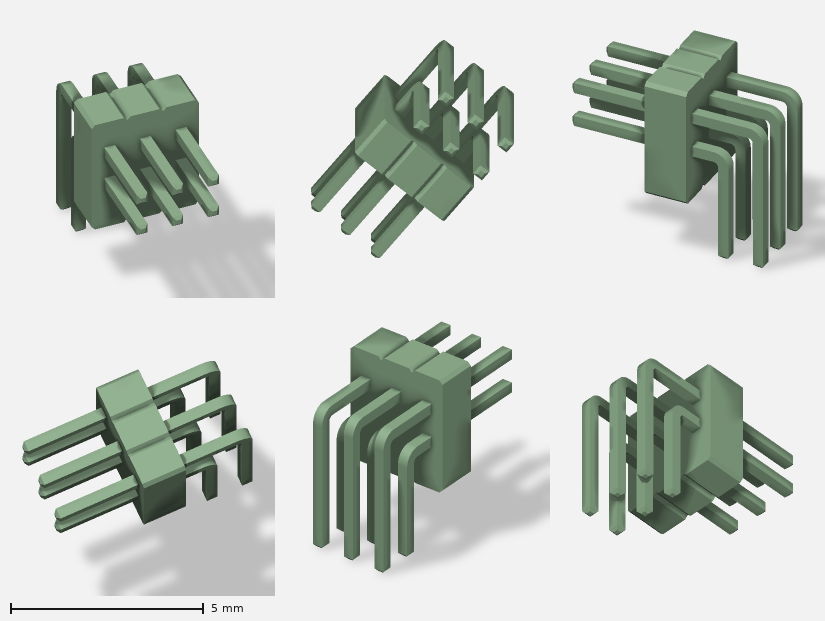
import cadquery as cq


total_length = 5.55
total_width = 3.0
total_height = 5.0

columns = 3
rows = 2
pitch = total_width / columns

pin_size = 0.3
bend_inner_radius = 0.145
bend_outer_radius = bend_inner_radius + pin_size
tip_chamfer = 0.085

housing_start = 2.055
housing_length = 1.205
housing_height = 3.4
housing_chamfer = 0.1
housing_bottom = total_height - housing_height

housing_rise_above_pins = 0.8
outer_pin_top = total_height - housing_rise_above_pins


def housing_segment(center_y):
    """One pitch-wide block; the chamfers of neighbouring blocks meet as V notches."""
    return (
        cq.Workplane("XY")
        .box(housing_length, pitch, housing_height, centered=(False, True, False))
        .edges("|X")
        .chamfer(housing_chamfer)
        .translate((housing_start, center_y, housing_bottom))
    )


def bent_pin(center_y, row):
    """An L-shaped pin; each further row nests one pitch inside the previous one."""
    leg_x = row * pitch
    top_z = outer_pin_top - row * pitch
    arm_length = total_length - leg_x

    arm = (
        cq.Workplane("XY")
        .box(arm_length, pin_size, pin_size, centered=(False, True, False))
        .faces(">X")
        .chamfer(tip_chamfer)
        .translate((leg_x, center_y, top_z - pin_size))
    )
    leg = (
        cq.Workplane("XY")
        .box(pin_size, pin_size, top_z, centered=(False, True, False))
        .faces("<Z")
        .chamfer(tip_chamfer)
        .translate((leg_x, center_y, 0))
    )
    inner_corner = cq.selectors.NearestToPointSelector((leg_x + pin_size, center_y, top_z - pin_size))
    outer_corner = cq.selectors.NearestToPointSelector((leg_x, center_y, top_z))
    pin = arm.union(leg)
    pin = pin.edges(inner_corner).fillet(bend_inner_radius)
    return pin.edges(outer_corner).fillet(bend_outer_radius)


column_positions = [(column - (columns - 1) / 2) * pitch for column in range(columns)]

result = housing_segment(column_positions[0])
for column_y in column_positions[1:]:
    result = result.union(housing_segment(column_y))

for column_y in column_positions:
    for row in range(rows):
        result = result.union(bent_pin(column_y, row))